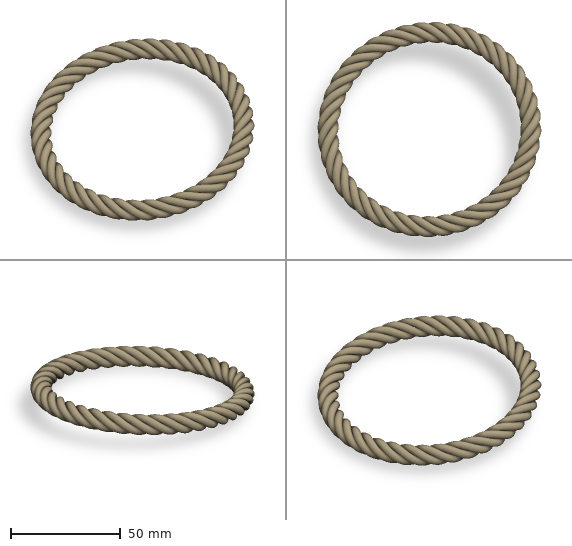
import cadquery as cq
import math

strand_count = 4
turns = 10
ring_radius = 46.4
lay_radius = 3.0
strand_radius = 1.8
ring_tilt = 4.1
start_angle = 19.0
start_lay_angle = 82.0

points_per_turn = 12
strand_pitch_angle = 360 / (turns * strand_count)


def strand_point(ring_angle):
    """Point on a strand's centre line, ring_angle radians after the place where it closes."""
    lay_angle = math.radians(start_lay_angle) - turns * ring_angle
    reach = ring_radius + lay_radius * math.cos(lay_angle)
    return cq.Vector(
        reach * math.cos(ring_angle),
        reach * math.sin(ring_angle),
        lay_radius * math.sin(lay_angle),
    )


def strand_tangent(ring_angle):
    """Derivative of strand_point by ring_angle."""
    lay_angle = math.radians(start_lay_angle) - turns * ring_angle
    reach = ring_radius + lay_radius * math.cos(lay_angle)
    outward_rate = turns * lay_radius * math.sin(lay_angle)
    rise_rate = -turns * lay_radius * math.cos(lay_angle)
    return cq.Vector(
        outward_rate * math.cos(ring_angle) - reach * math.sin(ring_angle),
        outward_rate * math.sin(ring_angle) + reach * math.cos(ring_angle),
        rise_rate,
    )


def half_path(first_angle):
    """Centre line over half of the ring."""
    steps = turns * points_per_turn // 2
    angles = [first_angle + math.pi * i / steps for i in range(steps + 1)]
    ends = [strand_tangent(angles[0]), strand_tangent(angles[-1])]
    points = [strand_point(angle) for angle in angles]
    return cq.Edge.makeSpline(points, tangents=ends, parameters=angles, scale=False)


def build_strand():
    """One closed strand, swept as two halves that meet end to end."""
    halves = []
    for first_angle in (0, math.pi):
        edge = half_path(first_angle)
        section = cq.Plane(origin=strand_point(first_angle), normal=strand_tangent(first_angle))
        path = cq.Workplane(cq.Wire.assembleEdges([edge]))
        halves.append(cq.Workplane(section).circle(strand_radius).sweep(path, isFrenet=True))
    return halves[0].union(halves[1]).val()


def place_strand(strand, index):
    """Turn a strand to its place in the rope, then tilt it with the ring."""
    turn = start_angle + index * strand_pitch_angle
    return strand.rotate((0, 0, 0), (0, 0, 1), turn).rotate((0, 0, 0), (1, 0, 0), ring_tilt)


first_strand = build_strand()
strands = [place_strand(first_strand, index) for index in range(strand_count)]

result = cq.Compound.makeCompound([strand.Solids()[0] for strand in strands])